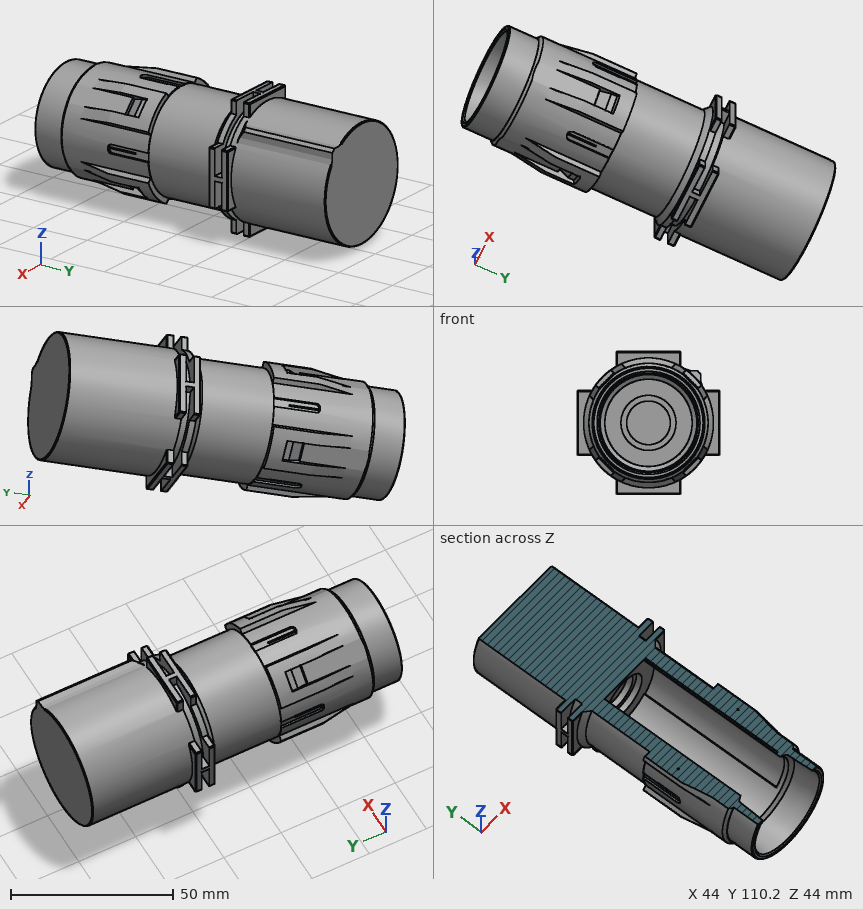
import cadquery as cq
import math

length = 110.2
tube_radius = 20.0
barrel_radius = 18.1
neck_radius = 17.14
tube_front = 68.2
shoulder_length = tube_radius - barrel_radius
edge_chamfer = 0.3

mouth_radius = 15.3
mouth_chamfer = 0.5
mouth_chamfer_depth = 0.4
taper_end_radius = 14.9
taper_end = 10.1
bore_radius = 13.4
bore_start = 11.2
bore_floor = 66.1
recess_radius = 8.5
recess_depth = 2.2
centre_radius = 6.7
centre_depth = 4.4
relief_radius = 14.1
relief_start = 12.9

pad_reach = 21.98
pad_width = 20.0
flange_rear = 75.2
groove_front = 70.3
groove_rear = 73.0
pad_root_depth = 4.4
pad_edge = 0.3
web_width = 1.7

sleeve_radius = 18.35
sleeve_rear = 43.1
sleeve_front = 11.0
sleeve_chamfer = 1.0
panel_width = 13.9
ramp_top = 28.1
ramp_foot = 17.3
channel_width = 6.6
channel_height = math.sqrt(sleeve_radius**2 - (channel_width / 2) ** 2)
window_rear = 38.2
window_rear_slope = 0.5
window_front = 32.1
window_shelf_front = 35.7
window_shelf_height = 18.4
window_low_height = 16.8
slot_width = 3.1
slot_end_round = 1.3
slot_floor = 17.5
slit_width = 0.3
slit_rear = 37.8
slit_depth = 0.3

key_reach = 16.1
key_chamfer = 1.1
key_foot = 11.1
key_top_start = 12.8

quarter_turns = (0, 90, 180, 270)
diagonals = (45, 135, 225, 315)
far = 33.1


def revolve_y(points):
    """Turn a (radius, Y) outline about the Y axis."""
    return cq.Workplane("XY").polyline(points).close().revolve(360, (0, 0, 0), (0, 1, 0))


def box_between(x_range, y_range, z_range):
    """Box spanning three (low, high) ranges."""
    sizes = [high - low for low, high in (x_range, y_range, z_range)]
    corner = (x_range[0], y_range[0], z_range[0])
    return cq.Workplane("XY").box(*sizes, centered=False).translate(corner)


def turned(shape, angle):
    """Turn a shape about the Y axis; 0 keeps it on the +Z side."""
    return shape.rotate((0, 0, 0), (0, 1, 0), angle)


def body():
    shoulder_end = tube_front - shoulder_length
    outline = [
        (0, 0),
        (neck_radius - edge_chamfer, 0),
        (neck_radius, edge_chamfer),
        (neck_radius, sleeve_front),
        (barrel_radius, sleeve_front),
        (barrel_radius, shoulder_end),
        (tube_radius, tube_front),
        (tube_radius, length - edge_chamfer),
        (tube_radius - edge_chamfer, length),
        (0, length),
    ]
    return revolve_y(outline)


def flange_groove():
    """Ring groove between the plates, down to the barrel radius."""
    outline = [
        (barrel_radius, groove_front),
        (far, groove_front),
        (far, groove_rear),
        (barrel_radius, groove_rear),
    ]
    return revolve_y(outline)


def flange_pad():
    """Two parallel plates joined by a narrow web, on the +Z side."""
    half = pad_width / 2
    root = barrel_radius - pad_root_depth
    pad = box_between((-half, half), (tube_front, flange_rear), (root, pad_reach))
    pad = pad.edges("|Z or >Z").chamfer(pad_edge)
    for x_range in ((-half, -web_width / 2), (web_width / 2, half)):
        pad = pad.cut(box_between(x_range, (groove_front, groove_rear), (root, pad_reach)))
    return pad


def latch_sleeve():
    outline = [
        (0, sleeve_front - sleeve_chamfer),
        (sleeve_radius - sleeve_chamfer, sleeve_front - sleeve_chamfer),
        (sleeve_radius, sleeve_front),
        (sleeve_radius, sleeve_rear),
        (0, sleeve_rear),
    ]
    return revolve_y(outline)


def latch_panels():
    """Raised panels on the diagonals, ramping down to the sleeve at the front."""
    outline = [
        (0, ramp_foot),
        (sleeve_radius, ramp_foot),
        (tube_radius, ramp_top),
        (tube_radius, sleeve_rear),
        (0, sleeve_rear),
    ]
    ring = revolve_y(outline)
    half = panel_width / 2
    strip = box_between((-half, half), (0, sleeve_rear), (0, far))
    strips = turned(strip, diagonals[0])
    for angle in diagonals[1:]:
        strips = strips.union(turned(strip, angle))
    return ring.intersect(strips)


def latch_channel():
    """Flat channel along a panel, with a sloping window floor behind it, on the +Z side."""
    side = [
        (0, channel_height),
        (window_front, channel_height),
        (window_front, window_low_height),
        (window_shelf_front, window_shelf_height),
        (window_rear - window_rear_slope, window_shelf_height),
        (window_rear, tube_radius),
        (window_rear, far),
        (0, far),
    ]
    return cq.Workplane("YZ").polyline(side).close().extrude(channel_width / 2, both=True)


def sleeve_slot():
    """Shallow slot from the sleeve's rear edge, on the +Z side."""
    half = slot_width / 2
    slot = box_between((-half, half), (ramp_top, sleeve_rear), (slot_floor, far))
    slot = slot.edges("|Z and <Y").fillet(slot_end_round)
    slit = box_between(
        (-slit_width / 2, slit_width / 2),
        (ramp_top, slit_rear),
        (slot_floor - slit_depth, slot_floor + slit_depth),
    )
    return slot.union(slit)


def key_ridge():
    """Ridge on the +X +Z diagonal, its front end sloping back at 45 degrees."""
    foot_height = math.sqrt(tube_radius**2 - key_foot**2)
    section = [
        (0, 0),
        (key_foot, foot_height),
        (key_top_start, key_reach),
        (key_reach - key_chamfer, key_reach),
        (key_reach, key_reach - key_chamfer),
        (key_reach, key_top_start),
        (foot_height, key_foot),
    ]
    ridge = cq.Workplane("XZ", origin=(0, length, 0)).polyline(section).close().extrude(length - flange_rear)
    slope_run = far - tube_radius
    slope = [
        (flange_rear, tube_radius),
        (flange_rear + slope_run, far),
        (flange_rear, far),
    ]
    end_cut = cq.Workplane("YZ").polyline(slope).close().extrude(far, both=True)
    return ridge.cut(turned(end_cut, diagonals[0]))


def socket():
    outline = [
        (0, 0),
        (mouth_radius + mouth_chamfer, 0),
        (mouth_radius, mouth_chamfer_depth),
        (taper_end_radius, taper_end),
        (bore_radius, bore_start),
        (bore_radius, bore_floor),
        (recess_radius, bore_floor),
        (recess_radius, bore_floor + recess_depth),
        (centre_radius, bore_floor + recess_depth),
        (centre_radius, bore_floor + centre_depth),
        (0, bore_floor + centre_depth),
    ]
    return revolve_y(outline)


def bore_relief():
    """Quarter-turn relief in the bore wall, centred on +X."""
    corner = relief_radius * math.cos(math.radians(45))
    section = cq.Workplane("XZ", origin=(0, relief_start, 0)).moveTo(0, 0).lineTo(corner, corner)
    section = section.threePointArc((relief_radius, 0), (corner, -corner)).close()
    return section.extrude(relief_start - bore_floor)


result = body().cut(flange_groove()).union(latch_sleeve()).union(latch_panels())
pad = flange_pad()
for angle in quarter_turns:
    result = result.union(turned(pad, angle))
    result = result.cut(turned(sleeve_slot(), angle))
for angle in diagonals:
    result = result.cut(turned(latch_channel(), angle))
result = result.union(key_ridge()).cut(socket()).cut(bore_relief())